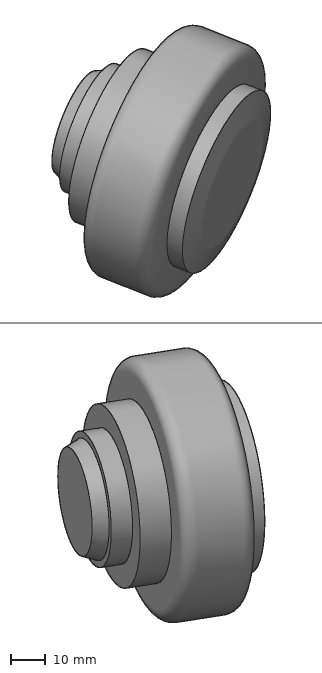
import cadquery as cq
import math

wheel_radius = 39.05
nose_tip_radius = 16.0
nose_base_radius = 18.0
spigot_radius = 20.0
collar_radius = 27.0
cap_radius = 28.35
cap_face_radius = 20.0

nose_length = 4.5
spigot_length = 6.5
collar_length = 9.5
wheel_width = 23.0
cap_length = 5.0
cap_cone_length = 2.0

near_round = 4.0
far_round = 3.75
crown_radius = 40.0

spigot_start = nose_length
collar_start = spigot_start + spigot_length
wheel_start = collar_start + collar_length
wheel_end = wheel_start + wheel_width
cap_edge = wheel_end + cap_length
cap_face = cap_edge + cap_cone_length

near_centre_x = wheel_start + near_round
near_centre_r = wheel_radius - near_round
near_diagonal = near_round * math.sqrt(0.5)

crown_centre_x = wheel_end - crown_radius
far_centre_r = wheel_radius - far_round
centre_rise = far_centre_r - cap_radius
crown_angle = math.asin(centre_rise / (crown_radius - far_round))
far_centre_x = crown_centre_x + (crown_radius - far_round) * math.cos(crown_angle)


def arc_point(centre_x, centre_r, radius, angle):
    """Point on an arc, with the angle measured from the +X direction."""
    return (centre_x + radius * math.cos(angle), centre_r + radius * math.sin(angle))


far_middle = arc_point(far_centre_x, far_centre_r, far_round, (crown_angle + math.pi / 2) / 2)
crown_top = arc_point(crown_centre_x, cap_radius, crown_radius, crown_angle)
crown_middle = arc_point(crown_centre_x, cap_radius, crown_radius, crown_angle / 2)

profile = (
    cq.Workplane("XY")
    .moveTo(0, 0)
    .lineTo(0, nose_tip_radius)
    .lineTo(spigot_start, nose_base_radius)
    .lineTo(spigot_start, spigot_radius)
    .lineTo(collar_start, spigot_radius)
    .lineTo(collar_start, collar_radius)
    .lineTo(wheel_start, collar_radius)
    .lineTo(wheel_start, near_centre_r)
    .threePointArc(
        (near_centre_x - near_diagonal, near_centre_r + near_diagonal),
        (near_centre_x, wheel_radius),
    )
    .lineTo(far_centre_x, wheel_radius)
    .threePointArc(far_middle, crown_top)
    .threePointArc(crown_middle, (wheel_end, cap_radius))
    .lineTo(cap_edge, cap_radius)
    .lineTo(cap_face, cap_face_radius)
    .lineTo(cap_face, 0)
    .close()
)

result = profile.revolve(360, (0, 0, 0), (1, 0, 0))